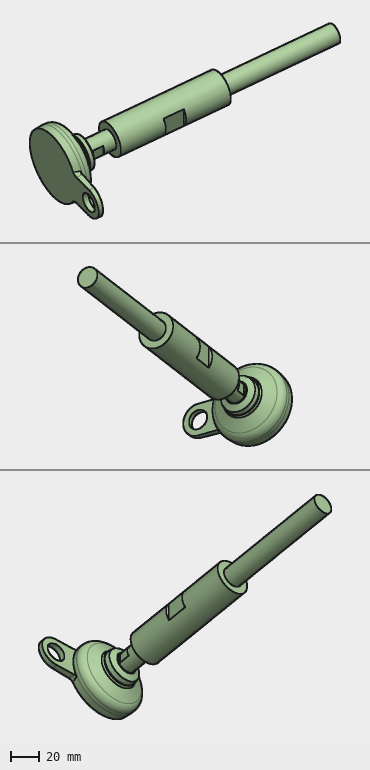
import cadquery as cq
import math

ROD_DIAMETER = 16.0
ROD_TOP = 243.0
ROD_BOTTOM = 12.2

SLEEVE_DIAMETER = 28.0
SLEEVE_BOTTOM = 49.3
SLEEVE_LENGTH = 95.0
SLEEVE_FLAT_LENGTH = 17.5
SLEEVE_ACROSS_FLATS = 22.4
ROD_FLAT_BOTTOM = 29.6
ROD_FLAT_LENGTH = 9.2
ROD_ACROSS_FLATS = 13.4

FOOT_RADIUS = 60.0 / 2
BASE_RADIUS = 29.5
BASE_HEIGHT = 6.0
RIM_TOP = 9.0
SHOULDER_RADIUS = 25.5
SHOULDER_HEIGHT = 15.3
NECK_RADIUS = 15.8
NECK_HEIGHT = 20.0
GROOVE_RADIUS = 14.5
GROOVE_BOTTOM = 21.5
COLLAR_RADIUS = 15.0
COLLAR_BOTTOM = 22.0
COLLAR_EDGE_RADIUS = 14.0
COLLAR_EDGE_HEIGHT = 26.5
COLLAR_TOP_RADIUS = 8.7
COLLAR_TOP = 28.7

LUG_RADIUS = 12.6
LUG_END = 88.0 - FOOT_RADIUS
LUG_CENTER = LUG_END - LUG_RADIUS
LUG_HOLE_DIAMETER = 15.0
LUG_ROOT_FILLET = 4.9
LUG_ROOT_HEIGHT = 5.3
LUG_TIP_HEIGHT = 4.0


def cylinder_along_y(diameter, bottom, length):
    """Cylinder on the Y axis, starting at Y = bottom."""
    axis_start = cq.Vector(0, bottom, 0)
    return cq.Workplane(cq.Solid.makeCylinder(diameter / 2, length, axis_start, cq.Vector(0, 1, 0)))


def cut_flats(body, diameter, across_flats, bottom, length):
    """Cut two opposite wrench flats facing -X and +X."""
    depth = (diameter - across_flats) / 2
    for side in (-1, 1):
        cutter = cq.Workplane("XY").box(2 * depth, length, 2 * diameter)
        offset = across_flats / 2 + depth
        body = body.cut(cutter.translate((side * offset, bottom + length / 2, 0)))
    return body


def make_spindle():
    rod = cylinder_along_y(ROD_DIAMETER, ROD_BOTTOM, ROD_TOP - ROD_BOTTOM)
    rod = cut_flats(rod, ROD_DIAMETER, ROD_ACROSS_FLATS, ROD_FLAT_BOTTOM, ROD_FLAT_LENGTH)
    sleeve = cylinder_along_y(SLEEVE_DIAMETER, SLEEVE_BOTTOM, SLEEVE_LENGTH)
    flat_bottom = SLEEVE_BOTTOM + (SLEEVE_LENGTH - SLEEVE_FLAT_LENGTH) / 2
    sleeve = cut_flats(sleeve, SLEEVE_DIAMETER, SLEEVE_ACROSS_FLATS, flat_bottom, SLEEVE_FLAT_LENGTH)
    return rod.union(sleeve)


def make_foot_dome():
    """Revolved foot: tapered base, rounded shoulder, cone, groove and collar."""
    profile = (
        cq.Workplane("XY")
        .lineTo(BASE_RADIUS, 0)
        .lineTo(FOOT_RADIUS, BASE_HEIGHT)
        .lineTo(FOOT_RADIUS, RIM_TOP)
        .tangentArcPoint((SHOULDER_RADIUS, SHOULDER_HEIGHT), relative=False)
        .lineTo(NECK_RADIUS, NECK_HEIGHT)
        .lineTo(GROOVE_RADIUS, GROOVE_BOTTOM)
        .lineTo(GROOVE_RADIUS, COLLAR_BOTTOM)
        .lineTo(COLLAR_RADIUS, COLLAR_BOTTOM)
        .lineTo(COLLAR_EDGE_RADIUS, COLLAR_EDGE_HEIGHT)
        .lineTo(COLLAR_TOP_RADIUS, COLLAR_TOP)
        .lineTo(0, COLLAR_TOP)
        .close()
    )
    return profile.revolve(360, (0, 0, 0), (0, 1, 0))


def make_lug():
    """Lug with concave roots against the foot and a top that slopes down to the tip."""
    root_offset = LUG_RADIUS + LUG_ROOT_FILLET
    root_distance = BASE_RADIUS + LUG_ROOT_FILLET
    root_x = math.sqrt(root_distance**2 - root_offset**2)
    touch_x = root_x * BASE_RADIUS / root_distance
    touch_z = root_offset * BASE_RADIUS / root_distance
    outline = (
        cq.Workplane("XZ")
        .moveTo(touch_x, -touch_z)
        .radiusArc((root_x, -LUG_RADIUS), LUG_ROOT_FILLET)
        .lineTo(LUG_CENTER, -LUG_RADIUS)
        .threePointArc((LUG_END, 0), (LUG_CENTER, LUG_RADIUS))
        .lineTo(root_x, LUG_RADIUS)
        .radiusArc((touch_x, touch_z), LUG_ROOT_FILLET)
        .lineTo(0, 0)
        .close()
        .extrude(-BASE_HEIGHT)
    )
    top_slope = (LUG_ROOT_HEIGHT - LUG_TIP_HEIGHT) / (LUG_END - FOOT_RADIUS)
    side_profile = (
        cq.Workplane("XY")
        .lineTo(LUG_END, 0)
        .lineTo(LUG_END, LUG_TIP_HEIGHT)
        .lineTo(0, LUG_TIP_HEIGHT + top_slope * LUG_END)
        .close()
        .extrude(root_offset + BASE_RADIUS, both=True)
    )
    return outline.intersect(side_profile)


def make_foot():
    foot = make_foot_dome().union(make_lug())
    lug_hole = cylinder_along_y(LUG_HOLE_DIAMETER, 0, BASE_HEIGHT).translate((LUG_CENTER, 0, 0))
    rod_socket = cylinder_along_y(ROD_DIAMETER, ROD_BOTTOM, COLLAR_TOP - ROD_BOTTOM)
    return foot.cut(lug_hole).cut(rod_socket)


spindle = make_spindle()
foot = make_foot()

result = cq.Compound.makeCompound([spindle.val(), foot.val()])